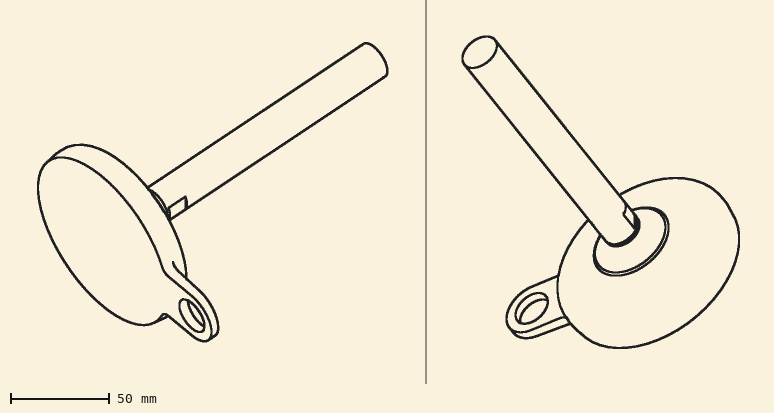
import cadquery as cq
import math


rim_radius = 50.0
sole_radius = 49.0
rim_bottom_y = 6.7
rim_top_y = 9.5
shoulder_radius = 7.0
cone_angle = math.radians(20)
neck_radius = 21.6
seat_radius = 20.4
seat_y = 25.7

lug_radius = 15.0
lug_reach = 83.01
lug_hole_diameter = 19.0
lug_root_thickness = 6.3
lug_tip_thickness = 4.6
lug_root_fillet = 5.0
lug_center_x = lug_reach - lug_radius

stem_radius = 10.0
stem_end_y = 185.0
collar_bottom_y = 35.7
collar_bevel_y = 35.0
collar_bevel_radius = 9.6
groove_radius = 9.0
dome_top_y = 33.7
dome_top_radius = 9.8
dome_radius = 25.3
flat_bottom_y = 37.2
flat_top_y = 48.7
flat_distance = 8.7


def revolve_about_y(profile):
    return profile.close().revolve(360, (0, 0, 0), (0, 1, 0))


def make_lug():
    """Round-ended tongue whose upper face slopes down to the tip."""
    outline = (
        cq.Workplane("XZ")
        .moveTo(0, -lug_radius)
        .lineTo(lug_center_x, -lug_radius)
        .threePointArc((lug_reach, 0), (lug_center_x, lug_radius))
        .lineTo(0, lug_radius)
        .close()
        .extrude(-rim_top_y)
    )
    slope = (lug_root_thickness - lug_tip_thickness) / (lug_reach - sole_radius)
    axis_thickness = lug_root_thickness + slope * sole_radius
    wedge = (
        cq.Workplane("XY")
        .polyline([(0, 0), (lug_reach, 0), (lug_reach, lug_tip_thickness), (0, axis_thickness)])
        .close()
        .extrude(lug_radius, both=True)
    )
    hole = (
        cq.Workplane("XZ")
        .center(lug_center_x, 0)
        .circle(lug_hole_diameter / 2)
        .extrude(-rim_top_y)
    )
    return outline.intersect(wedge).cut(hole)


def make_foot():
    """Drafted base with its lug, below a rounded shoulder and a cone."""
    base = revolve_about_y(
        cq.Workplane("XY")
        .lineTo(sole_radius, 0)
        .lineTo(rim_radius, rim_bottom_y)
        .lineTo(rim_radius, rim_top_y)
        .lineTo(0, rim_top_y)
    )
    shoulder_center_x = rim_radius - shoulder_radius

    def shoulder_point(angle):
        return (
            shoulder_center_x + shoulder_radius * math.cos(angle),
            rim_top_y + shoulder_radius * math.sin(angle),
        )

    shoulder_sweep = math.pi / 2 - cone_angle
    cone_start = shoulder_point(shoulder_sweep)
    neck_y = cone_start[1] + (cone_start[0] - neck_radius) * math.tan(cone_angle)
    crown = revolve_about_y(
        cq.Workplane("XY")
        .moveTo(0, rim_top_y)
        .lineTo(rim_radius, rim_top_y)
        .threePointArc(shoulder_point(shoulder_sweep / 2), cone_start)
        .lineTo(neck_radius, neck_y)
        .lineTo(seat_radius, seat_y)
        .lineTo(0, seat_y)
    )
    base_with_lug = base.union(make_lug())
    margin = 1.8
    corner_box = cq.selectors.BoxSelector(
        (sole_radius - 3 * margin, -margin, -lug_radius - margin),
        (sole_radius + margin, lug_root_thickness, lug_radius + margin),
    )
    rounded = base_with_lug.edges(corner_box).edges("<Z or >Z").fillet(lug_root_fillet)
    return rounded.union(crown)


def make_stem():
    """Rod on a domed head, with a bevelled collar and two wrench flats above the dome."""
    mid_radius = (seat_radius + dome_top_radius) / 2
    dome_center_y = seat_y - math.sqrt(dome_radius**2 - seat_radius**2)
    dome_middle_y = dome_center_y + math.sqrt(dome_radius**2 - mid_radius**2)
    body = revolve_about_y(
        cq.Workplane("XY")
        .moveTo(0, seat_y)
        .lineTo(seat_radius, seat_y)
        .threePointArc((mid_radius, dome_middle_y), (dome_top_radius, dome_top_y))
        .lineTo(groove_radius, dome_top_y)
        .lineTo(collar_bevel_radius, collar_bevel_y)
        .lineTo(stem_radius, collar_bottom_y)
        .lineTo(stem_radius, stem_end_y)
        .lineTo(0, stem_end_y)
    )
    flat_center_y = (flat_bottom_y + flat_top_y) / 2
    for side in (-1, 1):
        cutter = (
            cq.Workplane("XY")
            .box(stem_radius, flat_top_y - flat_bottom_y, 2 * stem_radius)
            .translate((side * (flat_distance + stem_radius / 2), flat_center_y, 0))
        )
        body = body.cut(cutter)
    return body


foot = make_foot()
stem = make_stem()
result = cq.Compound.makeCompound([foot.val(), stem.val()])